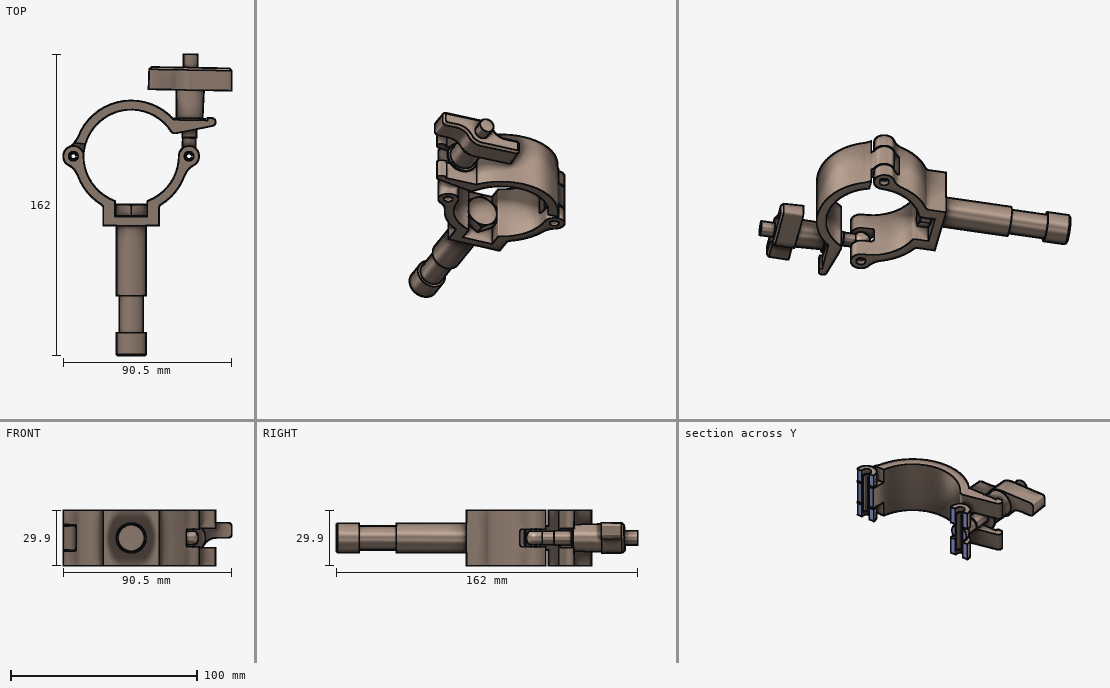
import cadquery as cq
import math

PIN_OFFSET = 31.0
LEFT_PIN = (-PIN_OFFSET, 0)
RIGHT_PIN = (PIN_OFFSET, 0)
SWING_ANGLE = -1.0

JAW_HEIGHT = 29.9
EYE_RADIUS = 5.5
RING_THICKNESS = 5.0
INNER_RADIUS = PIN_OFFSET - EYE_RADIUS
OUTER_RADIUS = INNER_RADIUS + RING_THICKNESS
EYE_BLEND_RADIUS = 10.0
PIN_DIAMETER = 5.0

BLOCK_WIDTH = 30.0
BLOCK_BOTTOM = -37.2
BLOCK_BLEND_RADIUS = 2.0
CHANNEL_WIDTH = 17.1
CHANNEL_FLOOR = -32.4
CHANNEL_LIP_RADIUS = 1.0
KNUCKLE_CLEARANCE_RADIUS = 8.6
KNUCKLE_CORNER_RADIUS = 1.5
LEFT_KNUCKLE_GAP = 14.2
RIGHT_KNUCKLE_GAP = 9.5

TONGUE_WIDTH = 13.0
TONGUE_SHOULDER = 6.9
ARM_TIP_RADIUS = 2.2
ARM_TIP_X = 42.8
ARM_TIP_Y = 19.65
ARM_UNDERSIDE_ANGLE = 12.3
ARM_CORNER_RADIUS = 2.8
SEAT_START_X = 22.4
SEAT_END_X = 40.5
FORK_WIDTH = 10.3

SEAT_ABOVE_BOLT_PIN = 19.35
SEAT_Y = SEAT_ABOVE_BOLT_PIN - 2 * PIN_OFFSET * math.sin(math.radians(SWING_ANGLE))
WASHER_DIAMETER = 17.0
WASHER_THICKNESS = 1.0
WASHER_HOLE = 8.4
THREAD_DIAMETER = 7.8
SHANK_DIAMETER = 7.2
THREAD_START = 9.8
THREAD_CHAMFER = (THREAD_DIAMETER - SHANK_DIAMETER) / 2
BOLT_TOP = 54.78
BALL_RADIUS = 5.0

NUT_BOTTOM = SEAT_ABOVE_BOLT_PIN + WASHER_THICKNESS
WING_BOTTOM = 35.5
WING_TOP = 47.6
BOSS_BOTTOM_RADIUS = 7.1
BOSS_TOP_RADIUS = 7.55
HUB_RADIUS = 8.25
WING_REACH = 22.39
WING_DRAFT = 1.0
WING_BLEND_RADIUS = 8.0
WING_END_RADIUS = 2.0
WING_TOP_CHAMFER = 1.35

PIN_LENGTH = 24.0
PIN_BORE = 3.0
PIN_SLIT = 1.2
PIN_CHAMFER = 0.4

HEX_ACROSS_FLATS = 17.0
HEX_TOP = -25.8
WASHER_FACE_THICKNESS = 0.4
WASHER_FACE_DIAMETER = 15.5
HEX_CHAMFER_HEIGHT = 0.6
SCREW_DIAMETER = 10.0
SCREW_END = -52.0

SPIGOT_DIAMETER = 16.0
SPIGOT_NECK_DIAMETER = 13.0
SPIGOT_NECK_START = -74.8
SPIGOT_NECK_END = -94.7
SPIGOT_BOTTOM = -107.12
SPIGOT_CHAMFER = 0.9


def upright_disc(center, radius, height):
    """Cylinder along Z, centred on the mid plane of the clamp."""
    disc = cq.Workplane("XY").center(*center).circle(radius).extrude(height)
    return disc.translate((0, 0, -height / 2))


def upright_box(x_min, x_max, y_min, y_max, height):
    """Box centred on the mid plane of the clamp."""
    box = cq.Workplane("XY").box(x_max - x_min, y_max - y_min, height)
    return box.translate(((x_min + x_max) / 2, (y_min + y_max) / 2, 0))


def rod(x, y_start, y_end, radius):
    """Cylinder along Y in the mid plane, from y_start up to y_end."""
    solid = cq.Solid.makeCylinder(radius, y_end - y_start, cq.Vector(x, y_start, 0), cq.Vector(0, 1, 0))
    return cq.Workplane(solid)


def swing(body, pin):
    """Lean a body about the axis of one pin."""
    return body.rotate((*pin, 0), (*pin, 1), SWING_ANGLE)


def fillet_upright_edge(body, x, y, radius):
    """Round the one Z edge nearest to (x, y)."""
    return body.edges("|Z").edges(cq.NearestToPointSelector((x, y, 0))).fillet(radius)


def eye_meets_ring():
    """X and positive Y where an eye circle crosses the outer ring circle."""
    x = (PIN_OFFSET**2 + OUTER_RADIUS**2 - EYE_RADIUS**2) / (2 * PIN_OFFSET)
    return x, math.sqrt(OUTER_RADIUS**2 - x**2)


def knuckle_clearance(pin, gap):
    """Round-cornered pocket that lets a hinge eye turn about its pin."""
    return upright_disc(pin, KNUCKLE_CLEARANCE_RADIUS, gap).edges().fillet(KNUCKLE_CORNER_RADIUS)


def make_lower_jaw():
    ring = upright_disc((0, 0), OUTER_RADIUS, JAW_HEIGHT)
    half = ring.intersect(upright_box(-OUTER_RADIUS, OUTER_RADIUS, -OUTER_RADIUS, 0, JAW_HEIGHT))
    half_block = BLOCK_WIDTH / 2
    body = half.union(upright_box(-half_block, half_block, BLOCK_BOTTOM, 0, JAW_HEIGHT))
    body = body.cut(upright_disc((0, 0), INNER_RADIUS, JAW_HEIGHT))
    for pin in (LEFT_PIN, RIGHT_PIN):
        body = body.union(upright_disc(pin, EYE_RADIUS, JAW_HEIGHT))

    half_channel = CHANNEL_WIDTH / 2
    body = body.cut(upright_box(-half_channel, half_channel, CHANNEL_FLOOR, 0, JAW_HEIGHT))

    eye_x, eye_y = eye_meets_ring()
    block_y = -math.sqrt(OUTER_RADIUS**2 - half_block**2)
    channel_y = -math.sqrt(INNER_RADIUS**2 - half_channel**2)
    for side in (-1, 1):
        body = fillet_upright_edge(body, side * eye_x, -eye_y, EYE_BLEND_RADIUS)
        body = fillet_upright_edge(body, side * half_block, block_y, BLOCK_BLEND_RADIUS)
        body = fillet_upright_edge(body, side * half_channel, channel_y, CHANNEL_LIP_RADIUS)

    for pin, gap in ((LEFT_PIN, LEFT_KNUCKLE_GAP), (RIGHT_PIN, RIGHT_KNUCKLE_GAP)):
        body = body.cut(knuckle_clearance(pin, gap))
        body = body.cut(upright_disc(pin, PIN_DIAMETER / 2, JAW_HEIGHT))
    return body.cut(rod(0, BLOCK_BOTTOM, CHANNEL_FLOOR, SCREW_DIAMETER / 2))


def make_upper_jaw():
    slope = math.radians(ARM_UNDERSIDE_ANGLE)
    tip_low = (ARM_TIP_X + ARM_TIP_RADIUS * math.sin(slope), ARM_TIP_Y - ARM_TIP_RADIUS * math.cos(slope))
    tip_top = (ARM_TIP_X, ARM_TIP_Y + ARM_TIP_RADIUS)
    tip_side_angle = slope / 2
    tip_side = (ARM_TIP_X + ARM_TIP_RADIUS * math.cos(tip_side_angle),
                ARM_TIP_Y + ARM_TIP_RADIUS * math.sin(tip_side_angle))
    underside_at_middle = tip_low[1] - tip_low[0] * math.tan(slope)
    arm = (
        cq.Workplane("XY")
        .moveTo(0, underside_at_middle)
        .lineTo(*tip_low)
        .threePointArc(tip_side, tip_top)
        .lineTo(SEAT_END_X, tip_top[1])
        .lineTo(SEAT_END_X, SEAT_Y)
        .lineTo(0, SEAT_Y)
        .close()
        .extrude(JAW_HEIGHT / 2, both=True)
    )

    ring = upright_disc((0, 0), OUTER_RADIUS, JAW_HEIGHT)
    left_ring = ring.intersect(upright_box(-OUTER_RADIUS, 0, 0, OUTER_RADIUS, JAW_HEIGHT))
    right_keep = (
        cq.Workplane("XY")
        .moveTo(0, underside_at_middle)
        .lineTo(*tip_low)
        .lineTo(tip_low[0], OUTER_RADIUS)
        .lineTo(0, OUTER_RADIUS)
        .close()
        .extrude(JAW_HEIGHT / 2, both=True)
    )
    right_ring = ring.intersect(right_keep)
    body = left_ring.union(right_ring).union(arm)
    body = body.cut(upright_box(SEAT_START_X, SEAT_END_X, SEAT_Y, OUTER_RADIUS, JAW_HEIGHT))
    body = body.cut(upright_disc((0, 0), INNER_RADIUS, JAW_HEIGHT))
    body = body.union(upright_disc(LEFT_PIN, EYE_RADIUS, JAW_HEIGHT))

    eye_x, eye_y = eye_meets_ring()
    body = fillet_upright_edge(body, -eye_x, eye_y, EYE_BLEND_RADIUS)
    line_distance = underside_at_middle * math.cos(slope)
    half_chord = math.sqrt(INNER_RADIUS**2 - line_distance**2)
    corner_x = half_chord * math.cos(slope) - line_distance * math.sin(slope)
    corner_y = half_chord * math.sin(slope) + line_distance * math.cos(slope)
    body = fillet_upright_edge(body, corner_x, corner_y, ARM_CORNER_RADIUS)

    cheek_height = (JAW_HEIGHT - TONGUE_WIDTH) / 2
    for side in (-1, 1):
        cheek = upright_box(-2 * PIN_OFFSET, 0, -EYE_RADIUS, TONGUE_SHOULDER, cheek_height)
        body = body.cut(cheek.translate((0, 0, side * (TONGUE_WIDTH + cheek_height) / 2)))
    body = body.cut(upright_disc(LEFT_PIN, PIN_DIAMETER / 2, JAW_HEIGHT))

    fork_end = ARM_TIP_X + 2 * ARM_TIP_RADIUS
    body = body.cut(rod(PIN_OFFSET, 0, OUTER_RADIUS, FORK_WIDTH / 2))
    body = body.cut(upright_box(PIN_OFFSET, fork_end, 0, OUTER_RADIUS, FORK_WIDTH))
    return swing(body, LEFT_PIN)


def make_washer():
    top = SEAT_ABOVE_BOLT_PIN + WASHER_THICKNESS
    body = rod(PIN_OFFSET, SEAT_ABOVE_BOLT_PIN, top, WASHER_DIAMETER / 2)
    body = body.cut(rod(PIN_OFFSET, SEAT_ABOVE_BOLT_PIN, top, WASHER_HOLE / 2))
    return swing(body, RIGHT_PIN)


def make_eye_bolt():
    ball = cq.Workplane("XY").sphere(BALL_RADIUS).translate((*RIGHT_PIN, 0))
    ball = ball.intersect(upright_disc(RIGHT_PIN, BALL_RADIUS, SHANK_DIAMETER))
    shank = rod(PIN_OFFSET, 0, THREAD_START, SHANK_DIAMETER / 2)
    thread = rod(PIN_OFFSET, THREAD_START, BOLT_TOP, THREAD_DIAMETER / 2)
    thread = thread.faces("<Y").chamfer(THREAD_CHAMFER)
    body = ball.union(shank).union(thread)
    body = body.cut(upright_disc(RIGHT_PIN, PIN_DIAMETER / 2, JAW_HEIGHT))
    return swing(body, RIGHT_PIN)


def make_wing_nut():
    blend_x = math.sqrt((HUB_RADIUS + WING_BLEND_RADIUS) ** 2 - WING_BLEND_RADIUS**2)
    touch = HUB_RADIUS / (HUB_RADIUS + WING_BLEND_RADIUS)
    hub_touch = (blend_x * touch, -WING_BLEND_RADIUS * touch)
    half_turn = math.atan2(blend_x, WING_BLEND_RADIUS) / 2
    blend_middle = (blend_x - WING_BLEND_RADIUS * math.sin(half_turn),
                    -WING_BLEND_RADIUS + WING_BLEND_RADIUS * math.cos(half_turn))
    hub_middle_angle = (math.atan2(hub_touch[1], hub_touch[0]) - math.pi / 2) / 2
    hub_middle = (HUB_RADIUS * math.cos(hub_middle_angle), HUB_RADIUS * math.sin(hub_middle_angle))

    def opposite(point):
        return (-point[0], -point[1])

    outline = cq.Workplane("XZ").moveTo(0, HUB_RADIUS)
    outline = outline.lineTo(WING_REACH, HUB_RADIUS).lineTo(WING_REACH, 0).lineTo(blend_x, 0)
    outline = outline.threePointArc(blend_middle, hub_touch).threePointArc(hub_middle, (0, -HUB_RADIUS))
    outline = outline.lineTo(-WING_REACH, -HUB_RADIUS).lineTo(-WING_REACH, 0).lineTo(-blend_x, 0)
    outline = outline.threePointArc(opposite(blend_middle), opposite(hub_touch))
    outline = outline.threePointArc(opposite(hub_middle), (0, HUB_RADIUS)).close()
    wings = outline.extrude(-(WING_TOP - WING_BOTTOM), taper=WING_DRAFT)
    for end in ("<X", ">X"):
        wings = wings.faces(end).edges("not |Z").fillet(WING_END_RADIUS)
    wings = wings.faces(">Y").chamfer(WING_TOP_CHAMFER)
    wings = wings.translate((PIN_OFFSET, WING_BOTTOM, 0))

    boss = cq.Workplane(cq.Solid.makeCone(
        BOSS_BOTTOM_RADIUS, BOSS_TOP_RADIUS, WING_BOTTOM - NUT_BOTTOM,
        cq.Vector(PIN_OFFSET, NUT_BOTTOM, 0), cq.Vector(0, 1, 0),
    ))
    body = wings.union(boss).cut(rod(PIN_OFFSET, NUT_BOTTOM, WING_TOP, THREAD_DIAMETER / 2))
    return swing(body, RIGHT_PIN)


def make_spring_pin(pin):
    """Rolled tube with a slit along its +X side."""
    body = upright_disc((0, 0), PIN_DIAMETER / 2, PIN_LENGTH).edges().chamfer(PIN_CHAMFER)
    body = body.cut(upright_disc((0, 0), PIN_BORE / 2, PIN_LENGTH))
    body = body.cut(upright_box(0, PIN_DIAMETER, -PIN_SLIT / 2, PIN_SLIT / 2, PIN_LENGTH))
    return body.translate((*pin, 0))


def make_hex_bolt():
    head_bottom = CHANNEL_FLOOR + WASHER_FACE_THICKNESS
    across_corners = HEX_ACROSS_FLATS / math.cos(math.pi / 6)
    head = (
        cq.Workplane("XZ", origin=(0, head_bottom, 0))
        .transformed(rotate=(0, 0, 90))
        .polygon(6, across_corners)
        .extrude(-(HEX_TOP - head_bottom))
    )
    turned_head = rod(0, head_bottom, HEX_TOP, across_corners / 2)
    chamfer_width = (across_corners - HEX_ACROSS_FLATS) / 2
    turned_head = turned_head.faces(">Y").chamfer(HEX_CHAMFER_HEIGHT, chamfer_width)
    washer_face = rod(0, CHANNEL_FLOOR, head_bottom, WASHER_FACE_DIAMETER / 2)
    screw = rod(0, SCREW_END, CHANNEL_FLOOR, SCREW_DIAMETER / 2)
    return head.intersect(turned_head).union(washer_face).union(screw)


def make_spigot():
    body = rod(0, SPIGOT_BOTTOM, BLOCK_BOTTOM, SPIGOT_DIAMETER / 2).faces("<Y").chamfer(SPIGOT_CHAMFER)
    groove = rod(0, SPIGOT_NECK_END, SPIGOT_NECK_START, SPIGOT_DIAMETER / 2)
    groove = groove.cut(rod(0, SPIGOT_NECK_END, SPIGOT_NECK_START, SPIGOT_NECK_DIAMETER / 2))
    body = body.cut(groove)
    return body.cut(rod(0, SCREW_END, BLOCK_BOTTOM, SCREW_DIAMETER / 2))


lower_jaw = make_lower_jaw()
upper_jaw = make_upper_jaw()
washer = make_washer()
eye_bolt = make_eye_bolt()
wing_nut = make_wing_nut()
hex_bolt = make_hex_bolt()
spigot = make_spigot()
spring_pins = [make_spring_pin(pin) for pin in (LEFT_PIN, RIGHT_PIN)]

bodies = [lower_jaw, upper_jaw, washer, eye_bolt, wing_nut, hex_bolt, spigot, *spring_pins]
result = cq.Compound.makeCompound([body.solids().val() for body in bodies])